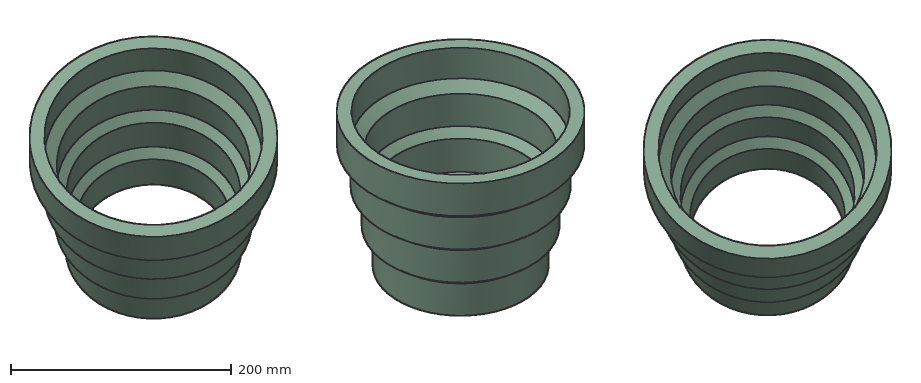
import cadquery as cq

height = 171.0

outer_sleeves = [
    (112.5, 0.0, 36.2),
    (100.1, 46.8, 82.4),
    (90.0, 90.7, 126.7),
    (80.0, 135.0, height),
]
inner_sleeves = [
    (99.0, 0.0, 34.2),
    (87.8, 43.2, 79.5),
    (79.0, 87.0, 124.2),
    (70.5, 131.8, height),
]


def wall_points(sleeves):
    """Return radius and Z along one side of the wall, from the top rim down."""
    points = []
    for radius, upper_depth, lower_depth in sleeves:
        points.append((radius, height - upper_depth))
        points.append((radius, height - lower_depth))
    return points


outside = wall_points(outer_sleeves)
bore = wall_points(inner_sleeves)
section = cq.Workplane("XZ").polyline(outside + bore[::-1]).close()

result = section.revolve(360, (0, 0, 0), (0, 1, 0))